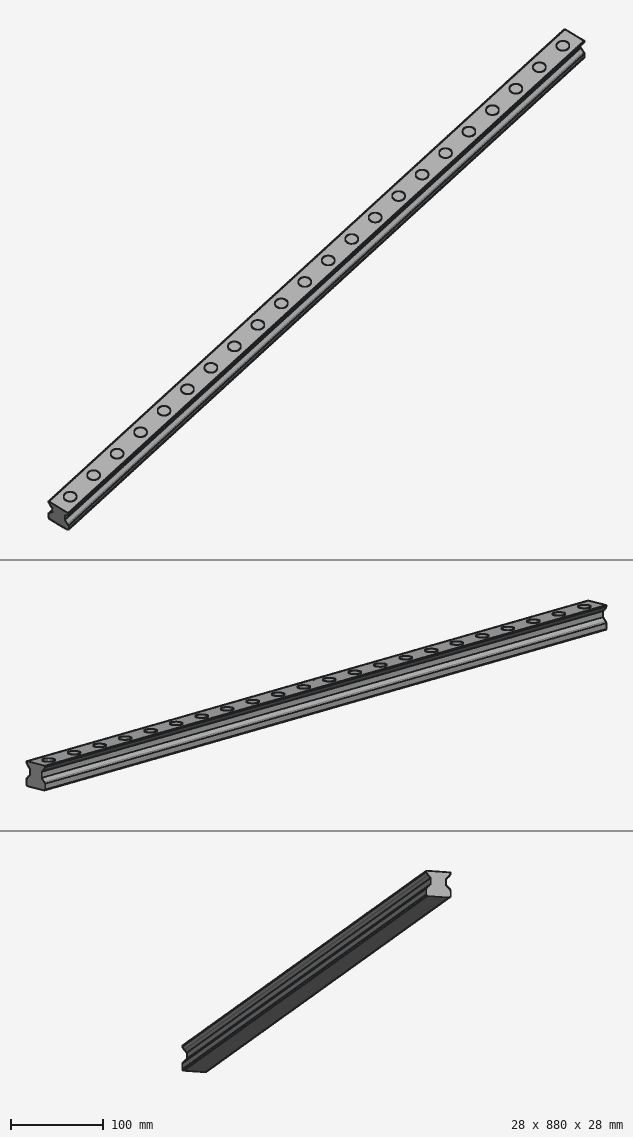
import cadquery as cq

LENGTH = 880.0
WIDTH = 28.0
HEIGHT = 28.0
NECK_WIDTH = 17.5

BASE_CHAMFER = 1.5
BASE_SIDE_TOP = 8.0
BASE_SHOULDER_WIDTH = 25.0
BASE_SHOULDER_HEIGHT = 9.75

NECK_BOTTOM = 13.5
NECK_TOP = 20.25

HEAD_SHOULDER_WIDTH = 24.0
HEAD_SHOULDER_HEIGHT = 23.5
HEAD_SIDE_BOTTOM = 26.5
TOP_CHAMFER = 0.6

HOLE_DIAMETER = 14.0
HOLE_DEPTH = 0.5
HOLE_COUNT = 22
HOLE_PITCH = LENGTH / HOLE_COUNT


def make_body():
    """Waisted rail section extruded along Y, centred in X and Y, with its base at Z = 0."""
    side = WIDTH / 2
    neck = NECK_WIDTH / 2
    right_flank = [
        (side - BASE_CHAMFER, 0),
        (side, BASE_CHAMFER),
        (side, BASE_SIDE_TOP),
        (BASE_SHOULDER_WIDTH / 2, BASE_SHOULDER_HEIGHT),
        (neck, NECK_BOTTOM),
        (neck, NECK_TOP),
        (HEAD_SHOULDER_WIDTH / 2, HEAD_SHOULDER_HEIGHT),
        (side, HEAD_SIDE_BOTTOM),
        (side, HEIGHT - TOP_CHAMFER),
        (side - TOP_CHAMFER, HEIGHT),
    ]
    left_flank = [(-x, z) for x, z in reversed(right_flank)]
    section = cq.Workplane("XZ").polyline(right_flank + left_flank).close()
    return section.extrude(LENGTH / 2, both=True)


def cut_mounting_holes(body):
    """Cut the evenly pitched recesses, half a pitch in from each end of the rail."""
    first_hole = (HOLE_PITCH - LENGTH) / 2
    centres = [(0, first_hole + index * HOLE_PITCH) for index in range(HOLE_COUNT)]
    top_face = body.faces(">Z").workplane(origin=(0, 0, HEIGHT))
    return top_face.pushPoints(centres).hole(HOLE_DIAMETER, HOLE_DEPTH)


result = cut_mounting_holes(make_body())